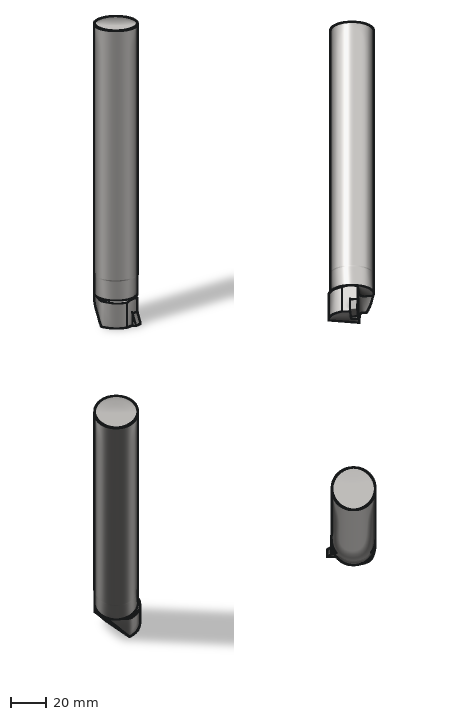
import cadquery as cq
import math

overall_length = 181.2
shank_radius = 12.5
end_chamfer = 0.4
shank_bottom = 29.7
neck_step = 0.09
neck_radius = shank_radius - neck_step
neck_step_bottom = 29.0
head_top = 17.5
head_bottom = 1.0

head_front_y = -13.5
left_round_radius = 7.6
right_round_radius = shank_radius
left_round_x = -0.4
right_round_x = 0.82
flat_start_x = -8.5
left_round_end_x = -5.71
right_round_end_x = 11.0
side_x = 13.5
side_back_y = 0.4

relief_angle = 60.0
pocket_wall_angle = 54.0
pocket_wall_setback = 19.8
pocket_fillet = 2.7
rake_angle = 15.0
cutter_size = 54.4

insert_edge = 7.6
insert_thickness = 4.2
insert_nose_radius = 0.7
edge_break = 10.0
tip_x = 16.0
tip_y = -0.2
tip_z = insert_edge * math.sin(math.radians(edge_break))


def circle_y(x, radius, center_x, front_y):
    """Y at the given X on the front half of a circle whose frontmost point is at front_y."""
    return front_y + radius - math.sqrt(radius**2 - (x - center_x) ** 2)


rake = math.radians(rake_angle)
rake_plane = cq.Plane(
    origin=(tip_x, tip_y, tip_z),
    xDir=(math.cos(rake), -math.sin(rake), 0),
    normal=(-math.sin(rake), -math.cos(rake), 0),
)


def make_shank():
    profile = [
        (0, head_top),
        (neck_radius, head_top),
        (neck_radius, neck_step_bottom),
        (shank_radius, shank_bottom),
        (shank_radius, overall_length - end_chamfer),
        (shank_radius - end_chamfer, overall_length),
        (0, overall_length),
    ]
    return cq.Workplane("XZ").polyline(profile).close().revolve(360, (0, 0), (0, 1))


def make_head_blank():
    """Extruded head outline, bevelled under the neck."""

    def left_point(x):
        return x, circle_y(x, left_round_radius, left_round_x, head_front_y)

    def right_point(x):
        return x, circle_y(x, right_round_radius, right_round_x, head_front_y)

    flat_start = (flat_start_x, circle_y(flat_start_x, shank_radius, 0, -shank_radius))
    left_middle_x = (left_round_x + left_round_end_x) / 2
    right_middle_x = (right_round_x + right_round_end_x) / 2
    height = head_top - head_bottom
    outline = (
        cq.Workplane("XY", origin=(0, 0, head_bottom))
        .moveTo(*flat_start)
        .lineTo(*left_point(left_round_end_x))
        .threePointArc(left_point(left_middle_x), (left_round_x, head_front_y))
        .lineTo(right_round_x, head_front_y)
        .threePointArc(right_point(right_middle_x), right_point(right_round_end_x))
        .lineTo(side_x, side_back_y)
        .lineTo(side_x, shank_radius)
        .lineTo(0, shank_radius)
        .threePointArc((-shank_radius, 0), flat_start)
        .close()
        .extrude(height)
    )
    shoulder_profile = [
        (0, head_bottom),
        (neck_radius + height, head_bottom),
        (neck_radius, head_top),
        (0, head_top),
    ]
    shoulder = cq.Workplane("XZ").polyline(shoulder_profile).close().revolve(360, (0, 0), (0, 1))
    return outline.intersect(shoulder)


def make_relief():
    """Wedge that slopes the -X side of the head inward toward the bottom."""
    run = head_top / math.tan(math.radians(relief_angle))
    return (
        cq.Workplane("XZ")
        .polyline([(-shank_radius, head_top), (run - shank_radius, 0), (-cutter_size, 0), (-cutter_size, head_top)])
        .close()
        .extrude(cutter_size / 2, both=True)
    )


def make_chip_pocket():
    """Space behind the cutting face, bounded by a sloping wall on the -X side."""
    run = head_top / math.tan(math.radians(pocket_wall_angle))
    wall_middle = rake_plane.toWorldCoords((-pocket_wall_setback - run / 2, head_top / 2 - tip_z))
    wall_x = -pocket_wall_setback
    return (
        cq.Workplane(rake_plane)
        .polyline(
            [
                (wall_x, head_top - tip_z),
                (wall_x - run, -tip_z),
                (cutter_size, -tip_z),
                (cutter_size, head_top - tip_z),
            ]
        )
        .close()
        .extrude(-cutter_size)
        .edges(cq.selectors.NearestToPointSelector(wall_middle.toTuple()))
        .fillet(pocket_fillet)
    )


def make_insert():
    """Trigon plate flush with the cutting face, with one nose at the tip and its side level."""
    half_side = insert_edge * math.cos(math.radians(edge_break))
    nose_distance = 2 * half_side / math.sqrt(3)
    middle_distance = nose_distance / 2 + insert_edge * math.sin(math.radians(edge_break))
    center_x = -half_side
    center_z = nose_distance / 2
    noses = []
    outline = []
    for nose_angle in (-30, 90, 210):
        for angle, distance in ((nose_angle, nose_distance), (nose_angle + 60, middle_distance)):
            direction = math.radians(angle)
            outline.append((center_x + distance * math.cos(direction), center_z + distance * math.sin(direction)))
        noses.append(outline[-2])
    plate = cq.Workplane(rake_plane).polyline(outline).close().extrude(insert_thickness)
    for nose in noses:
        nose_middle = rake_plane.toWorldCoords((*nose, insert_thickness / 2))
        nose_edge = cq.selectors.NearestToPointSelector(nose_middle.toTuple())
        plate = plate.edges(nose_edge).fillet(insert_nose_radius)
    return plate


insert = make_insert()
head = make_head_blank().cut(make_relief()).cut(make_chip_pocket())
bar = make_shank().union(head).cut(insert)

result = cq.Compound.makeCompound([bar.val(), insert.val()])